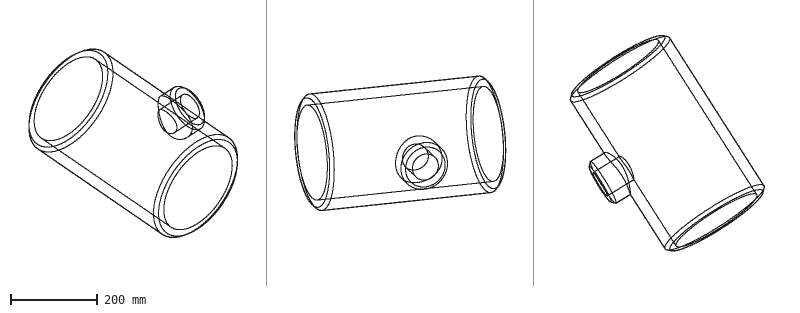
import cadquery as cq

run_length = 431.8
run_outer_diameter = 273.05

branch_outer_diameter = 114.3
branch_reach = 184.15

wall = 25.4

bevel = wall / 3

run_bore_diameter = run_outer_diameter - 2 * wall
branch_bore_diameter = branch_outer_diameter - 2 * wall


def run_cylinder(diameter):
    """Cylinder over the full length of the run."""
    return cq.Workplane("YZ").circle(diameter / 2).extrude(run_length / 2, both=True)


def branch_cylinder(diameter):
    """Cylinder from the run axis out to the branch end face."""
    return cq.Workplane("XZ").circle(diameter / 2).extrude(-branch_reach)


def make_run():
    """Solid run, bevelled at both ends."""
    return run_cylinder(run_outer_diameter).edges("%CIRCLE").chamfer(bevel)


def make_branch():
    """Solid branch, bevelled at its outer end."""
    return branch_cylinder(branch_outer_diameter).faces(">Y").edges().chamfer(bevel)


body = make_run().union(make_branch())
result = body.cut(run_cylinder(run_bore_diameter)).cut(branch_cylinder(branch_bore_diameter))